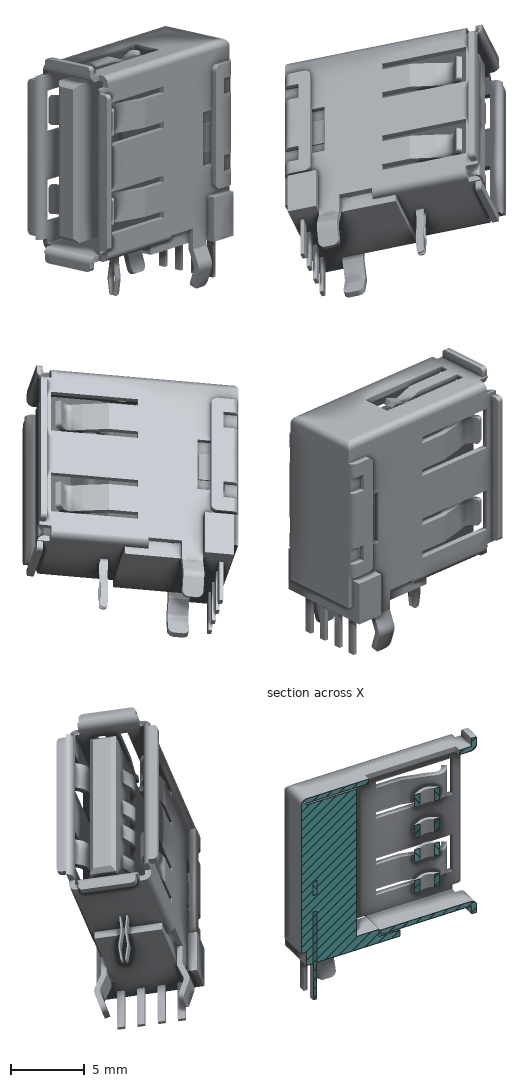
import cadquery as cq
import math


overall_width = 7.02
overall_depth = 13.7
overall_height = 17.51
sheet = 0.4

cavity_half_width = 2.45
cavity_bottom = 4.18
cavity_corner_radius = 0.1
shell_bend_radius = 0.5
shell_front = 0.84
shell_bottom_rear = 7.51
flange_reach = overall_width / 2 - cavity_half_width
cavity_top = overall_height - flange_reach
cavity_half_height = (cavity_top - cavity_bottom) / 2
mid_height = (cavity_top + cavity_bottom) / 2
shell_half_width = cavity_half_width + sheet
shell_top = cavity_top + sheet
shell_bottom = cavity_bottom - sheet
wall_center = cavity_half_width + sheet / 2
rear_wall_inside = overall_depth - sheet
side_wall_bottom = shell_bottom + shell_bend_radius

flange_thickness = 0.44
flange_corner_radius = 0.28
top_flange_root_half, top_flange_half = 2.08, 1.98
side_flange_root_half, side_flange_half = 5.75, 5.48

ear_front = 11.77
ear_bottom, ear_top = 6.67, 15.37
ear_corner_radius = 0.44
ear_window_y = (12.6, 13.62)
ear_window_height = 1.2
ear_window_centers = (8.32, 13.73)

latch_window_y = (10.87, 12.73)
latch_window_z = (8.39, 12.22)
latch_y = (11.0, 12.6)
latch_z = (9.28, 11.28)
latch_pad_rise = 0.14
latch_rise = 0.1

spring_offset = 3.13
side_slot_y = (0.82, 6.8)
side_slot_height = 3.0
side_spring_width = 2.0
side_spring_bend = 4.82
side_spring_knee = (2.22, 3.12)
side_spring_hump = (1.82, 1.89)
side_spring_tip = (2.75, 1.33)
side_spring_hump_radius = 0.53
side_spring_tip_radius = 0.21

top_slot_y = (1.38, 8.44)
top_slot_half_width = 1.09
top_spring_half_width = 0.47
top_spring_bend = 4.85
top_spring_dip = (6.11, 16.15)
top_spring_tip = (7.39, 16.67)
top_spring_bend_radius = 0.12
top_spring_dip_radius = 0.39
top_spring_tip_radius = 0.39

leg_y = (9.84, 11.28)
leg_bend_z = 2.8
leg_knee = (3.17, 1.63)
leg_knee_radius = 0.53
leg_foot = (2.66, 0.061)
leg_tip_radius = 0.44
leg_top = 5.25

blade_thickness = 0.1
blade_y = (4.65, 5.18)
blade_path = ((0.26, 3.94), (0.14, 2.6), (0.32, 1.37), (0.14, 0.14))
blade_bend_radius = 0.7
blade_tip_radius = 0.23

core_half_width = 2.36
core_top = 16.35
core_front = 9.37
base_front = 5.99
base_step_y = 7.62
base_bottom = 3.17
base_front_top = 3.71
foot_front = 11.28
foot_top = 6.29
tongue_x = (-1.38, 0.44)
tongue_z = (4.78, 15.86)
tongue_front = 0.44
tongue_chamfer = 0.3

contact_thickness = 0.23
contact_width = 1.09
contact_front = 1.93
contact_bow_y = (2.63, 3.82, 5.18)
contact_bow_x = 1.05
contact_bow_radius = 0.88
pin_y = (12.48, 12.75)
pin_width = 0.53
pin_bottom = 0.2
inner_pin_x, outer_pin_x = 0.72, 2.12
inner_contact_offset, outer_contact_offset = 1.0, 3.5
contact_layout = (
    (mid_height + outer_contact_offset, -outer_pin_x),
    (mid_height + inner_contact_offset, -inner_pin_x),
    (mid_height - inner_contact_offset, outer_pin_x),
    (mid_height - outer_contact_offset, inner_pin_x),
)


def block(x, y, z):
    """Box between (low, high) limits on each axis."""
    size = (span(x), span(y), span(z))
    return cq.Workplane("XY").box(*size, centered=False).translate((x[0], y[0], z[0]))


def middle(limits):
    return (limits[0] + limits[1]) / 2


def span(limits):
    return limits[1] - limits[0]


def around(center, size):
    """Limits of a size centred on a value."""
    return (center - size / 2, center + size / 2)


def both_sides(right):
    """A right-hand feature together with its mirror image on the left."""
    return right.union(right.mirror("YZ"))


def strip_outline(path, thickness):
    """Closed outline of a strip of constant thickness that follows the path's centre line."""
    headings = [
        math.atan2(b[1] - a[1], b[0] - a[0])
        for a, b in zip(path, path[1:])
    ]
    left, right = [], []
    for i, (u, v) in enumerate(path):
        before = headings[max(i - 1, 0)]
        after = headings[min(i, len(headings) - 1)]
        turn = math.remainder(after - before, 2 * math.pi)
        normal = before + turn / 2 + math.pi / 2
        reach = thickness / 2 / math.cos(turn / 2)
        du, dv = reach * math.cos(normal), reach * math.sin(normal)
        left.append((u + du, v + dv))
        right.append((u - du, v - dv))
    return left + right[::-1]


def strip(plane, path, thickness, width, bends=None):
    """Bent strip, its width centred on the plane; bends gives inside radii by path index."""
    outline = strip_outline(path, thickness)
    body = cq.Workplane(plane).polyline(outline).close().extrude(width / 2, both=True)
    for i, inside_radius in (bends or {}).items():
        (u0, v0), (u1, v1), (u2, v2) = path[i - 1:i + 2]
        turns_left = (u1 - u0) * (v2 - v1) > (v1 - v0) * (u2 - u1)
        left_corner, right_corner = outline[i], outline[-1 - i]
        inside, outside = (left_corner, right_corner) if turns_left else (right_corner, left_corner)
        body = round_edge(body, plane, inside, inside_radius)
        body = round_edge(body, plane, outside, inside_radius + thickness)
    return body


def round_edge(body, plane, point, radius, offset=0):
    """Fillet the edge whose middle lies nearest to a point of the plane, offset from it."""
    place = cq.Plane.named(plane).toWorldCoords((*point, offset))
    return body.edges(cq.selectors.NearestToPointSelector(place.toTuple())).fillet(radius)


def round_tip(body, plane, path, width, radius):
    """Round both corners at the end of a bent strip."""
    for offset in (-width / 2, width / 2):
        body = round_edge(body, plane, path[-1], radius, offset)
    return body


def shell_box():
    outer = block(
        (-shell_half_width, shell_half_width), (shell_front, overall_depth), (shell_bottom, shell_top)
    )
    outer = outer.edges("|Y or (>Y and >Z)").fillet(shell_bend_radius)
    cavity = block(
        (-cavity_half_width, cavity_half_width), (0, rear_wall_inside), (cavity_bottom, cavity_top)
    )
    cavity = cavity.edges("|Y").fillet(cavity_corner_radius)
    open_bottom = block(
        (-overall_width, overall_width), (shell_bottom_rear, overall_depth), (0, side_wall_bottom)
    )
    return outer.cut(cavity).cut(open_bottom)


def front_flange(wall_distance, root_half, plate_half, angle):
    """Lip bent outwards from the front of one wall; angle turns it round the Y axis."""
    outside = wall_distance + sheet
    tip = wall_distance + flange_reach
    root = block((-root_half, root_half), (0, shell_front), (wall_distance, tip))
    root = root.edges("<Y and <Z").fillet(shell_bend_radius)
    root = root.cut(block((-root_half, root_half), (0, shell_front), (outside, tip)))
    plate = block((-plate_half, plate_half), (0, shell_front), (wall_distance, tip))
    plate = plate.edges("<Y and <Z").fillet(shell_bend_radius)
    plate = plate.edges("|Y and >Z").fillet(flange_corner_radius)
    plate = plate.cut(block((-plate_half, plate_half), (flange_thickness, shell_front), (outside, tip)))
    lip = root.union(plate)
    return lip.rotate((0, 0, 0), (0, 1, 0), angle).translate((0, 0, mid_height))


def front_flanges():
    flanges = front_flange(cavity_half_height, top_flange_root_half, top_flange_half, 0)
    flanges = flanges.union(front_flange(cavity_half_height, top_flange_root_half, top_flange_half, 180))
    for angle in (90, -90):
        side = front_flange(cavity_half_width, side_flange_root_half, side_flange_half, angle)
        flanges = flanges.union(side)
    return flanges


def cover_ear():
    ear_x = (wall_center, shell_half_width + sheet)
    window_x = (shell_half_width, shell_half_width + sheet)
    wall_x = (wall_center, shell_half_width)
    ear = block(ear_x, (ear_front, overall_depth), (ear_bottom, ear_top))
    ear = ear.edges("|X and <Y").fillet(ear_corner_radius)
    ear = ear.edges("|Z and >X and >Y").fillet(shell_bend_radius)
    ear = ear.cut(block(wall_x, (ear_front, rear_wall_inside), (ear_bottom, ear_top)))
    for center in ear_window_centers:
        ear = ear.cut(block(window_x, ear_window_y, around(center, ear_window_height)))
    return ear


def side_slots():
    wall_x = (cavity_half_width, shell_half_width)
    slots = block(wall_x, latch_window_y, latch_window_z)
    for z in (mid_height - spring_offset, mid_height + spring_offset):
        slots = slots.union(block(wall_x, side_slot_y, around(z, side_slot_height)))
    return slots


def side_spring(z):
    path = (
        (wall_center, side_slot_y[1]),
        (wall_center, side_spring_bend),
        side_spring_knee,
        side_spring_hump,
        side_spring_tip,
    )
    bends = {path.index(side_spring_hump): side_spring_hump_radius}
    spring = strip("XY", path, sheet, side_spring_width, bends)
    spring = round_tip(spring, "XY", path, side_spring_width, side_spring_tip_radius)
    return spring.translate((0, 0, z))


def top_spring():
    path = (
        (top_slot_y[0], cavity_top + sheet / 2),
        (top_spring_bend, cavity_top + sheet / 2),
        top_spring_dip,
        top_spring_tip,
    )
    width = 2 * top_spring_half_width
    bends = {1: top_spring_bend_radius, 2: top_spring_dip_radius}
    spring = strip("YZ", path, sheet, width, bends)
    return round_tip(spring, "YZ", path, width, top_spring_tip_radius)


def board_leg():
    path = ((wall_center, leg_top), (wall_center, leg_bend_z), leg_knee, leg_foot)
    width = span(leg_y)
    leg = strip("XZ", path, sheet, width, {2: leg_knee_radius})
    leg = round_tip(leg, "XZ", path, width, leg_tip_radius)
    return leg.translate((0, middle(leg_y), 0))


def bowed_blade():
    width = span(blade_y)
    bends = {1: blade_bend_radius, 2: blade_bend_radius}
    blade = strip("XZ", blade_path, blade_thickness, width, bends)
    blade = round_tip(blade, "XZ", blade_path, width, blade_tip_radius)
    return blade.translate((0, middle(blade_y), 0))


def make_shell():
    top_slot = block((-top_slot_half_width, top_slot_half_width), top_slot_y, (cavity_top, shell_top))
    shell = shell_box().union(front_flanges()).cut(both_sides(side_slots())).cut(top_slot)
    shell = shell.union(top_spring())
    features = [cover_ear(), board_leg(), bowed_blade()]
    features += [side_spring(mid_height - spring_offset), side_spring(mid_height + spring_offset)]
    for feature in features:
        shell = shell.union(both_sides(feature))
    return shell


def tongue():
    body = block(tongue_x, (tongue_front, core_front), tongue_z)
    return body.faces("<Y").chamfer(tongue_chamfer)


def latch():
    pad_face = core_half_width + latch_pad_rise
    pad = block((core_half_width, pad_face), latch_window_y, latch_window_z)
    return pad.union(block((pad_face, pad_face + latch_rise), latch_y, latch_z))


def make_insulator():
    core_x = (-core_half_width, core_half_width)
    core = block(core_x, (core_front, rear_wall_inside), (side_wall_bottom, core_top))
    rear_base = block(core_x, (base_step_y, rear_wall_inside), (base_bottom, side_wall_bottom))
    front_base = block(core_x, (base_front, base_step_y), (base_bottom, base_front_top))
    feet = block(
        (-overall_width / 2, overall_width / 2), (foot_front, rear_wall_inside), (base_bottom, foot_top)
    )
    insulator = core.union(rear_base).union(front_base).union(feet)
    return insulator.union(tongue()).union(both_sides(latch()))


def make_contact(z, pin_x):
    """Strip bowed out of the tongue, a crossbar at the rear and a pin down to the board."""
    spine_x = tongue_x[1] - contact_thickness / 2
    path = (
        (spine_x, contact_front),
        (spine_x, contact_bow_y[0]),
        (contact_bow_x, contact_bow_y[1]),
        (spine_x, contact_bow_y[2]),
        (spine_x, pin_y[1]),
    )
    spine = strip("XY", path, contact_thickness, contact_width, {2: contact_bow_radius})
    spine = spine.translate((0, 0, z))
    contact_z = around(z, contact_width)
    pin_limits = around(pin_x, pin_width)
    crossbar_x = (
        min(pin_limits[0], tongue_x[1] - contact_thickness),
        max(pin_limits[1], tongue_x[1]),
    )
    crossbar = block(crossbar_x, pin_y, contact_z)
    pin = block(pin_limits, pin_y, (pin_bottom, contact_z[1]))
    return spine.union(crossbar).union(pin)


contacts = [make_contact(z, pin_x) for z, pin_x in contact_layout]
socket = make_shell().union(make_insulator())
for contact in contacts:
    socket = socket.cut(contact)

result = cq.Compound.makeCompound([socket.val(), *[contact.val() for contact in contacts]])